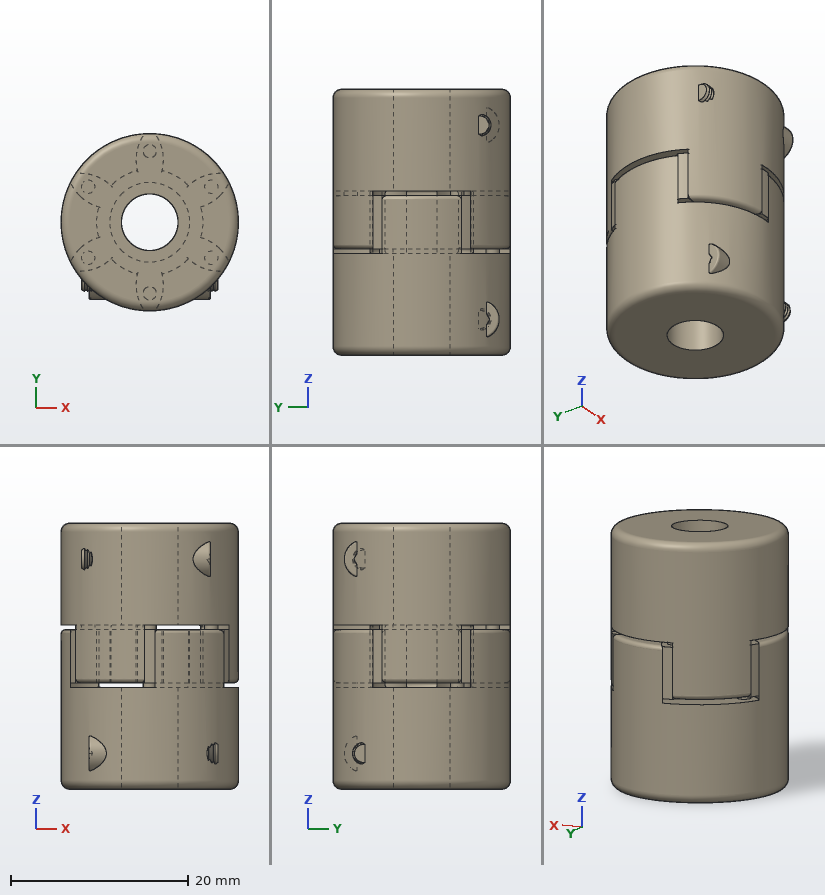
import cadquery as cq
import math


length = 30.0
outer_radius = 20.0 / 2
bore_diameter = 6.35
end_fillet = 1.0

spider_height = 6.0
spider_bore_diameter = 9.0
spider_ring_radius = 6.0
lobe_count = 6
first_lobe_angle = -30
lobe_side_radius = 5.0
lobe_widest_radius = 7.05
lobe_outer_half_width = 0.57
pad_diameter = 1.5
pad_pitch_radius = 8.0
gap = 0.5

jaw_count = 3
first_jaw_gap_angle = 0
jaw_tip_fillet = 0.5
jaw_root_fillet = 0.25

screw_offset = 6.57
screw_end_distance = 4.05
head_radius = 2.15
head_face = 6.85
head_length = 3.0
head_fillet = 0.2
socket_corner_diameter = 2.2
socket_depth = 1.0
thread_radius = 1.23
thread_root_radius = 1.02
thread_pitch = 0.4
thread_count = 5
tip_face = 7.68
tip_chamfer = 0.3

lobe_step = 360 / lobe_count
jaw_step = 360 / jaw_count
spider_bottom = (length - spider_height) / 2
spider_top = spider_bottom + spider_height
body_height = spider_bottom - gap
lobe_arc_offset = math.sqrt(
    lobe_side_radius**2 - (outer_radius - lobe_widest_radius) ** 2
) - lobe_outer_half_width


def about_z(shape, angle):
    return shape.rotate((0, 0, 0), (0, 0, 1), angle)


def make_lobe(bottom, height, angle):
    """Lens-shaped column where two large cylinders overlap, centred on the given angle."""
    left, right = [
        cq.Workplane("XY", origin=(lobe_widest_radius, y, bottom))
        .circle(lobe_side_radius)
        .extrude(height)
        for y in (lobe_arc_offset, -lobe_arc_offset)
    ]
    return about_z(left.intersect(right), angle)


def make_hub_blank():
    """Turned hub before the jaws are separated: bored body with a ring standing on it."""
    return (
        cq.Workplane("XZ")
        .moveTo(bore_diameter / 2, 0)
        .lineTo(outer_radius - end_fillet, 0)
        .radiusArc((outer_radius, end_fillet), -end_fillet)
        .lineTo(outer_radius, spider_top - jaw_tip_fillet)
        .radiusArc((outer_radius - jaw_tip_fillet, spider_top), -jaw_tip_fillet)
        .lineTo(spider_ring_radius, spider_top)
        .lineTo(spider_ring_radius, body_height + jaw_root_fillet)
        .radiusArc((spider_ring_radius - jaw_root_fillet, body_height), jaw_root_fillet)
        .lineTo(bore_diameter / 2, body_height)
        .close()
        .revolve(360, (0, 0), (0, 1))
    )


def make_jaw_gap(angle):
    """Space between two jaws: a sector with a lobe-shaped bulge along each side."""
    ring_height = spider_top - body_height
    space = (
        cq.Workplane("XZ")
        .moveTo(0, body_height)
        .rect(2 * outer_radius, ring_height, centered=False)
        .revolve(lobe_step, (0, 0), (0, 1))
    )
    for lobe_angle in (0, lobe_step):
        space = space.union(make_lobe(body_height, ring_height, lobe_angle))
    return about_z(space, angle - lobe_step / 2)


def make_screw_head():
    """Round head with a hexagon socket, opening toward -X."""
    face = cq.Workplane("YZ", origin=(-head_face, -screw_offset, screw_end_distance))
    head = face.circle(head_radius).extrude(head_length).faces("<X").edges().fillet(head_fillet)
    socket = face.polygon(6, socket_corner_diameter).extrude(socket_depth)
    return head.cut(socket)


def make_screw_tip():
    """Chamfered screw end with V-shaped thread grooves, pointing toward +X."""
    first_crest = tip_face - tip_chamfer
    tip_inner_end = first_crest - thread_count * thread_pitch
    profile = (
        cq.Workplane("XY", origin=(0, -screw_offset, screw_end_distance))
        .moveTo(tip_inner_end, 0)
        .lineTo(tip_face, 0)
        .lineTo(tip_face, thread_root_radius)
        .lineTo(first_crest, thread_radius)
    )
    for i in range(thread_count):
        crest = first_crest - i * thread_pitch
        profile = profile.lineTo(crest - thread_pitch / 2, thread_root_radius)
        profile = profile.lineTo(crest - thread_pitch, thread_radius)
    return profile.close().revolve(360, (0, 0), (1, 0))


def make_lower_hub():
    """Hub with jaws pointing up; its clamping screw shows at both ends."""
    hub = make_hub_blank()
    for i in range(jaw_count):
        hub = hub.cut(make_jaw_gap(first_jaw_gap_angle + i * jaw_step))
    return hub.union(make_screw_head()).union(make_screw_tip())


def make_upper_hub():
    """The lower hub turned half a turn about the Y direction through the coupling centre."""
    return make_lower_hub().rotate((0, 0, length / 2), (0, 1, length / 2), 180)


def make_spider():
    """Ring with six lobes; spacer pads alternate between the top and the bottom of the lobes."""
    base = cq.Workplane("XY", origin=(0, 0, spider_bottom))
    lobe_angles = [first_lobe_angle + i * lobe_step for i in range(lobe_count)]

    spider = base.circle(spider_ring_radius).extrude(spider_height)
    for angle in lobe_angles:
        spider = spider.union(make_lobe(spider_bottom, spider_height, angle))
    envelope = base.circle(outer_radius).circle(spider_bore_diameter / 2).extrude(spider_height)
    spider = spider.intersect(envelope)

    for i, angle in enumerate(lobe_angles):
        pad_bottom = body_height if i % 2 else spider_top
        pad = (
            cq.Workplane("XY", origin=(pad_pitch_radius, 0, pad_bottom))
            .circle(pad_diameter / 2)
            .extrude(gap)
        )
        spider = spider.union(about_z(pad, angle))
    return spider


lower_hub = make_lower_hub()
upper_hub = make_upper_hub()
spider = make_spider()

result = cq.Compound.makeCompound([lower_hub.val(), upper_hub.val(), spider.val()])